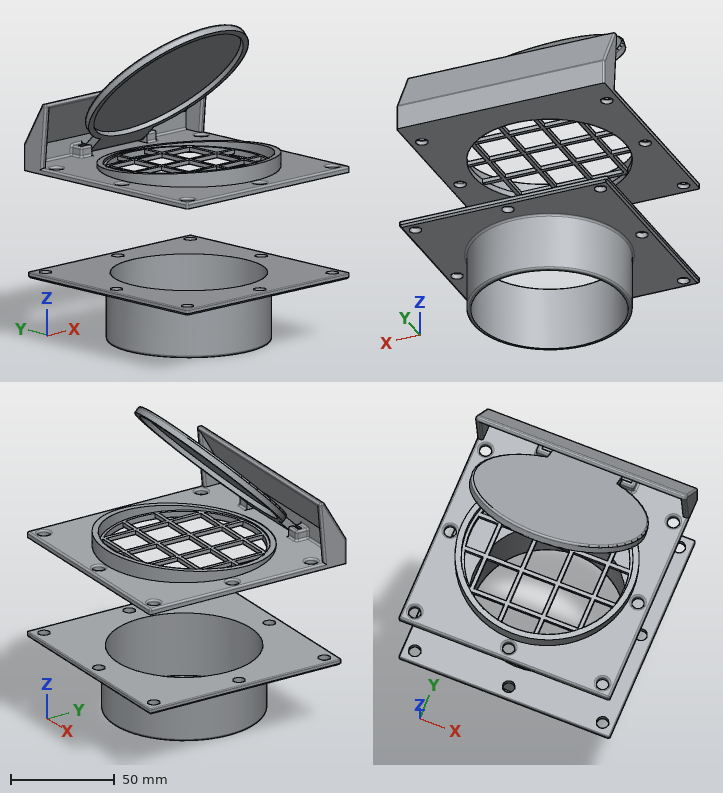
import cadquery as cq
import math

WIDTH = 110.0
HALF = WIDTH / 2
PLATE = 3.0
ROUND = 1.0
SCREW_D = 6.0
SCREW_X = 49.0
DUCT_OD = 80.0
DUCT_ID = 76.0

DUCT_LENGTH = 30.0
FLANGE_TOP_ROUND = ROUND / 2

FRAME_Z = 83.0
FRAME_DEPTH = 113.0
FLOOR_Z = FRAME_Z + PLATE
BACK_Y = FRAME_DEPTH - HALF
WALL_Y = BACK_Y - PLATE
HOOD_HEIGHT = 35.0
HOOD_TOP_Z = FRAME_Z + HOOD_HEIGHT
HOOD_BACK_HEIGHT = 12.8
HOOD_SLOPE = 30
SEAT_TILT = 5
HOOD_FRONT_Y = 45.3
FRAME_SCREW_PITCH = 45.2
FRAME_SCREW_ROWS = 3
RING_OD = 89.0
RING_ID = 83.0
RING_BACK_HEIGHT = 0.3
BAR_WIDTH = 2.0
BAR_DEPTH = BAR_WIDTH
BAR_PITCH = 18.7
BAR_COUNT = 4

PIVOT_Y = 51.5
PIVOT_Z = FLOOR_Z + 3.0
PIN_D = 3.0
PIN_END_X = 23.3
BLOCK_INNER_X = 18.6
BLOCK_OUTER_X = 25.5
BLOCK_FRONT_Y = 48.0
BLOCK_HEIGHT = 5.0
SNAP_WIDTH = 2.0

LID_ANGLE = 45
LID_THICK = 4.0
LID_D = RING_OD
LID_RECESS_D = RING_ID
LID_RECESS = 2.5
LID_REACH = 51.0
TAB_HALF_WIDTH = 18.1


def drill(body, points, z_low):
    """Drill screw holes through a plate whose underside is at z_low."""
    tools = cq.Workplane("XY", origin=(0, 0, z_low)).pushPoints(points).circle(SCREW_D / 2).extrude(PLATE)
    return body.cut(tools)


def make_flange():
    """Square plate on a duct, with a rounded neck between them."""
    plate_z = DUCT_LENGTH
    plate = cq.Workplane("XY", origin=(0, 0, plate_z)).rect(WIDTH, WIDTH).extrude(PLATE)
    plate = plate.edges("|Z").fillet(ROUND)
    plate = plate.faces("<Z").edges().chamfer(ROUND).faces(">Z").edges().fillet(FLANGE_TOP_ROUND)
    duct = cq.Workplane("XY").circle(DUCT_OD / 2).extrude(plate_z).faces("<Z").edges().fillet(ROUND)
    flange = plate.union(duct)

    near = ROUND / 2
    neck = cq.selectors.BoxSelector((-HALF, -HALF, plate_z - near), (HALF, HALF, plate_z + near))
    flange = flange.edges("%CIRCLE").edges(neck).fillet(ROUND)

    bore = cq.Workplane("XY").circle(DUCT_ID / 2).extrude(plate_z + PLATE)
    steps = (-SCREW_X, 0, SCREW_X)
    points = [(x, y) for x in steps for y in steps if (x, y) != (0, 0)]
    return drill(flange.cut(bore), points, plate_z)


def hood_front_y(z):
    """Y of the tilted hood opening at height z."""
    return HOOD_FRONT_Y - (z - FLOOR_Z) * math.tan(math.radians(SEAT_TILT))


def make_shell():
    """Plate and hood as one folded shell, hollowed from the front."""
    bend_z = FRAME_Z + HOOD_BACK_HEIGHT
    lean = math.tan(math.radians(HOOD_SLOPE))
    top_back_y = BACK_Y - (HOOD_TOP_Z - bend_z) * lean
    outline = [
        (-HALF, FRAME_Z),
        (BACK_Y, FRAME_Z),
        (BACK_Y, bend_z),
        (top_back_y, HOOD_TOP_Z),
        (hood_front_y(HOOD_TOP_Z), HOOD_TOP_Z),
        (HOOD_FRONT_Y, FLOOR_Z),
        (-HALF, FLOOR_Z),
    ]
    shell = cq.Workplane("YZ", origin=(-HALF, 0, 0)).polyline(outline).close().extrude(WIDTH)

    lip_y = hood_front_y(HOOD_TOP_Z)
    inner_bend_z = bend_z - PLATE * math.tan(math.radians(HOOD_SLOPE / 2))
    cavity_outline = [
        (lip_y, FLOOR_Z),
        (WALL_Y, FLOOR_Z),
        (WALL_Y, inner_bend_z),
        (lip_y, inner_bend_z + (WALL_Y - lip_y) / lean),
    ]
    inner_half = HALF - PLATE
    cavity = cq.Workplane("YZ", origin=(-inner_half, 0, 0)).polyline(cavity_outline).close().extrude(2 * inner_half)
    return shell.cut(cavity)


def make_hinge_bar():
    """One rounded bar across the hood floor, later parted into two hinge blocks."""
    depth = WALL_Y - BLOCK_FRONT_Y
    bar = (
        cq.Workplane("XY", origin=(0, BLOCK_FRONT_Y + depth / 2, FLOOR_Z))
        .rect(2 * BLOCK_OUTER_X, depth)
        .extrude(BLOCK_HEIGHT)
    )
    return bar.edges("not(<Z or >Y)").fillet(ROUND)


def round_frame(frame):
    """Round the outside edges, the hood mouth and the corners where floor, wall and bar meet."""
    inner = HALF - PLATE - ROUND
    near = ROUND / 4
    outside = frame.faces("<X or >X or <Y or >Y or >Z").edges("not <Z")
    mouth = frame.edges(cq.selectors.BoxSelector(
        (-HALF + ROUND, hood_front_y(HOOD_TOP_Z), FLOOR_Z + ROUND),
        (HALF - ROUND, HOOD_FRONT_Y, HOOD_TOP_Z - ROUND)))
    floor_corners = frame.edges(cq.selectors.BoxSelector(
        (-inner, BLOCK_FRONT_Y - near, FLOOR_Z - near),
        (inner, WALL_Y + near, FLOOR_Z + near)))
    wall_corners = frame.edges(cq.selectors.BoxSelector(
        (-inner, WALL_Y - near, FLOOR_Z + near),
        (inner, WALL_Y + near, FLOOR_Z + BLOCK_HEIGHT - ROUND)))
    return outside.add(mouth).add(floor_corners).add(wall_corners).fillet(ROUND)


def part_hinge_bar(frame):
    """Cut the bar away between the blocks, keeping the rounded corner of floor and wall."""
    gap_top = FLOOR_Z + BLOCK_HEIGHT + 2 * ROUND
    gap = (
        cq.Workplane("YZ", origin=(-BLOCK_INNER_X, 0, 0))
        .moveTo(HOOD_FRONT_Y, FLOOR_Z)
        .lineTo(WALL_Y - ROUND, FLOOR_Z)
        .radiusArc((WALL_Y, FLOOR_Z + ROUND), -ROUND)
        .lineTo(WALL_Y, gap_top)
        .lineTo(HOOD_FRONT_Y, gap_top)
        .close()
        .extrude(2 * BLOCK_INNER_X)
    )
    return frame.cut(gap)


def make_ring():
    """Ring whose top is tilted so that it is lowest at the hood."""
    radius = RING_OD / 2
    rise = RING_OD * math.tan(math.radians(SEAT_TILT))
    blank = (
        cq.Workplane("YZ", origin=(-radius, 0, 0))
        .moveTo(-radius, FRAME_Z)
        .lineTo(radius, FRAME_Z)
        .lineTo(radius, FLOOR_Z + RING_BACK_HEIGHT)
        .lineTo(-radius, FLOOR_Z + RING_BACK_HEIGHT + rise)
        .close()
        .extrude(RING_OD)
    )
    cylinder = cq.Workplane("XY", origin=(0, 0, FRAME_Z)).circle(radius).extrude(RING_OD)
    return blank.intersect(cylinder)


def make_grille():
    """Crossed bars flush with the plate top, ending inside the plate around the bore."""
    span = DUCT_OD + RING_OD - RING_ID
    bars = cq.Workplane("XY", origin=(0, 0, FLOOR_Z - BAR_DEPTH))
    along_x = bars.rarray(1.5, BAR_PITCH, 1, BAR_COUNT).rect(span, BAR_WIDTH).extrude(BAR_DEPTH)
    along_y = bars.rarray(BAR_PITCH, 1.5, BAR_COUNT, 1).rect(BAR_WIDTH, span).extrude(BAR_DEPTH)
    disc = cq.Workplane("XY", origin=(0, 0, FRAME_Z)).circle(RING_ID / 2).extrude(PLATE)
    return along_x.union(along_y).intersect(disc)


def make_pin():
    """Hinge pin, which is also the shape of the sockets that hold it."""
    return cq.Workplane("YZ", origin=(-PIN_END_X, PIVOT_Y, PIVOT_Z)).circle(PIN_D / 2).extrude(2 * PIN_END_X)


def cut_sockets(frame):
    """Pin sockets in the hinge blocks, each with a narrower snap-in opening above."""
    top = FLOOR_Z + BLOCK_HEIGHT
    slot = cq.Workplane("XY", origin=(0, PIVOT_Y, PIVOT_Z)).rect(2 * PIN_END_X, SNAP_WIDTH).extrude(top - PIVOT_Z)
    return frame.cut(make_pin()).cut(slot)


def rounded_screw_tool():
    """Cutter for a screw hole through the frame plate with a rounded upper rim."""
    radius = SCREW_D / 2
    return (
        cq.Workplane("XZ")
        .lineTo(radius, 0)
        .lineTo(radius, PLATE - ROUND)
        .radiusArc((radius + ROUND, PLATE), ROUND)
        .lineTo(0, PLATE)
        .close()
        .revolve(360, (0, 0, 0), (0, 1, 0))
    )


def make_frame():
    """Plate with hood, hinge blocks, ring, grille and screw holes."""
    frame = round_frame(make_shell().union(make_hinge_bar()))
    frame = cut_sockets(part_hinge_bar(frame))

    bore = cq.Workplane("XY", origin=(0, 0, FRAME_Z)).circle(DUCT_OD / 2).extrude(PLATE)
    seat = cq.Workplane("XY", origin=(0, 0, FLOOR_Z)).circle(RING_ID / 2).extrude(RING_OD)
    frame = frame.union(make_ring().cut(seat)).cut(bore).union(make_grille())

    rows = [-SCREW_X + i * FRAME_SCREW_PITCH for i in range(FRAME_SCREW_ROWS)]
    points = [(x, y) for x in (-SCREW_X, SCREW_X) for y in rows] + [(0, -SCREW_X)]
    for x, y in points:
        frame = frame.cut(rounded_screw_tool().translate((x, y, FRAME_Z)))
    return frame


def make_lid():
    """Lid drawn flat with the pivot axis at the origin, then swung open."""
    disc = cq.Workplane("XY", origin=(0, -LID_REACH, -LID_THICK / 2)).circle(LID_D / 2).extrude(LID_THICK)
    disc = disc.faces(">Z").edges().fillet(ROUND)
    tab = (
        cq.Workplane("YZ", origin=(-TAB_HALF_WIDTH, 0, 0))
        .circle(LID_THICK / 2)
        .extrude(2 * TAB_HALF_WIDTH)
    )
    reach = LID_REACH - math.sqrt((LID_RECESS_D / 2 + ROUND) ** 2 - TAB_HALF_WIDTH**2)
    web = cq.Workplane("XY", origin=(0, -reach / 2, 0)).box(2 * TAB_HALF_WIDTH, reach, LID_THICK)
    recess = (
        cq.Workplane("XY", origin=(0, -LID_REACH, -LID_THICK / 2))
        .circle(LID_RECESS_D / 2)
        .extrude(LID_RECESS)
    )
    lid = disc.union(tab).union(web).cut(recess)
    lid = lid.rotate((0, 0, 0), (1, 0, 0), -LID_ANGLE).translate((0, PIVOT_Y, PIVOT_Z))
    return lid.union(make_pin())


flange = make_flange()
frame = make_frame()
lid = make_lid()
result = cq.Compound.makeCompound([flange.val(), frame.val(), lid.val()])